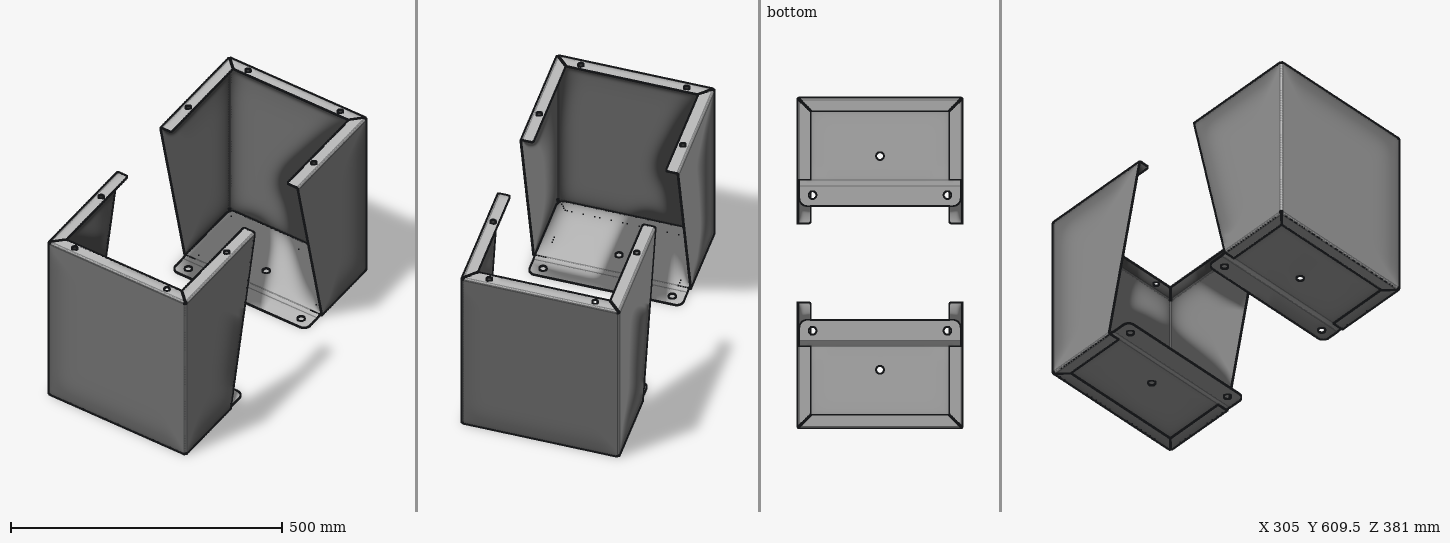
import cadquery as cq

width = 305.0
length = 609.5
height = 381.0

sheet = 2.25
inner_bend = 2.0
outer_bend = sheet + inner_bend

top_depth = 232.0
bottom_depth = 152.0
flange_width = 25.0
flange_corner = 4.0
miter_gap = 2.15
flange_hole_diameter = 11.0
back_hole_spacing = 203.5
back_hole_inset = 14.0
side_hole_inset = 14.0
side_hole_depth = 158.5

plate_depth = 200.0
joggle_length = 10.5
plate_corner = 13.5
plate_hole_diameter = 14.0
center_hole_depth = 108.0
tongue_hole_depth = 180.0
tongue_hole_spacing = 249.0


def bent_box(box_width, depth, box_height, radius):
    """Box centred on X, its back face at Y = 0, rounded on every edge except those of its front face."""
    return (
        cq.Workplane("XY")
        .box(box_width, depth, box_height, centered=(True, False, False))
        .edges("not >Y")
        .fillet(radius)
    )


def sheet_tray():
    """Back wall and two side walls, with flanges turned inward all round at the top and bottom."""
    outside = bent_box(width, top_depth, height, outer_bend)
    cavity = bent_box(width - 2 * sheet, top_depth, height - 2 * sheet, inner_bend)
    opening = (
        cq.Workplane("XY")
        .box(width - 2 * flange_width, top_depth, height, centered=(True, False, False))
        .translate((0, flange_width, 0))
    )
    return outside.cut(cavity.translate((0, sheet, sheet))).cut(opening)


def side_profile():
    """Block that leaves the slanted front edge of the side walls."""
    return (
        cq.Workplane("YZ")
        .polyline([
            (0, 0),
            (bottom_depth, 0),
            (bottom_depth, outer_bend),
            (top_depth, height - outer_bend),
            (top_depth, height),
            (0, height),
        ])
        .close()
        .extrude(width / 2, both=True)
    )


def corner_relief(side, base_z):
    """Square notch at a bend corner and the mitre slit running inward from it."""
    corner_x = side * width / 2
    notch = cq.Workplane("XY").box(2 * outer_bend, 2 * outer_bend, outer_bend, centered=(True, True, False))
    slit = (
        cq.Workplane("XY")
        .box(2 * flange_width, miter_gap, outer_bend, centered=(False, True, False))
        .rotate((0, 0, 0), (0, 0, 1), 90 + side * 45)
    )
    return notch.union(slit).translate((corner_x, 0, base_z))


def flange_holes():
    """Drills for the holes in the top flanges."""
    side_hole_x = width / 2 - side_hole_inset
    centers = []
    for side in (-1, 1):
        centers.append((side * back_hole_spacing / 2, back_hole_inset))
        centers.append((side * side_hole_x, side_hole_depth))
    return (
        cq.Workplane("XY", origin=(0, 0, height - outer_bend))
        .pushPoints(centers)
        .circle(flange_hole_diameter / 2)
        .extrude(outer_bend)
    )


def make_housing():
    housing = sheet_tray().intersect(side_profile())
    for side in (-1, 1):
        for base_z in (0, height - outer_bend):
            housing = housing.cut(corner_relief(side, base_z))
    housing = housing.cut(flange_holes())
    free_corner_x = width / 2 - flange_width
    for side in (-1, 1):
        corner = cq.selectors.NearestToPointSelector((side * free_corner_x, top_depth, height - sheet / 2))
        housing = housing.edges(corner).fillet(flange_corner)
    return housing


def make_plate():
    """Plate resting on the bottom flanges, stepping down to a tongue level with their underside."""
    joggle_end = bottom_depth + joggle_length
    plate_width = width - 2 * outer_bend
    plate = (
        cq.Workplane("YZ")
        .polyline([
            (outer_bend, sheet),
            (bottom_depth, sheet),
            (joggle_end, 0),
            (plate_depth, 0),
            (plate_depth, sheet),
            (joggle_end, sheet),
            (bottom_depth, 2 * sheet),
            (outer_bend, 2 * sheet),
        ])
        .close()
        .extrude(plate_width / 2, both=True)
        .edges("|Z and (<Y or >Y)")
        .fillet(plate_corner)
    )
    tongue_hole_x = tongue_hole_spacing / 2
    holes = (
        cq.Workplane("XY")
        .pushPoints([
            (0, center_hole_depth),
            (-tongue_hole_x, tongue_hole_depth),
            (tongue_hole_x, tongue_hole_depth),
        ])
        .circle(plate_hole_diameter / 2)
        .extrude(2 * sheet)
    )
    return plate.cut(holes)


bodies = []
for turn in (0, 180):
    for body in (make_housing(), make_plate()):
        placed = body.translate((0, -length / 2, 0)).rotate((0, 0, 0), (0, 0, 1), turn)
        bodies.append(placed.solids().val())

result = cq.Compound.makeCompound(bodies)